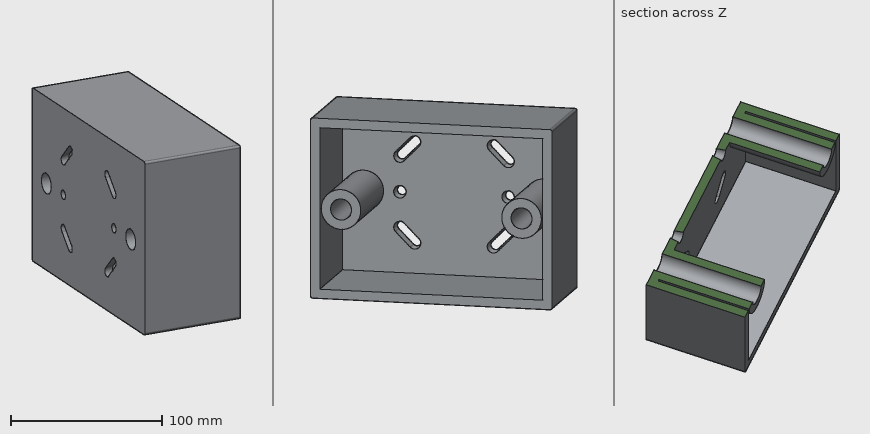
import cadquery as cq

WIDTH = 164.36
DEPTH = 70.84
HEIGHT = 121.85
CORNER_RADIUS = 1.5
WALL = 6.35
FRONT_Y = -DEPTH / 2

TUBE_OFFSET = 61.4
TUBE_BORE = 14.2
TUBE_OUTER = TUBE_BORE + 2 * WALL

SCREW_OFFSET = 36.8
SCREW_DIAMETER = 6.2
SLOT_WIDTH = 6.1
SLOT_TRAVEL = 14.2
SLOT_CENTER_X = 31.8
SLOT_CENTER_Z = 29.1
SLOT_ANGLE = 45
FLARE_ANGLE = 10

SIDES = (-1, 1)


def front_plane():
    """Sketch plane on the front face: X right, Z up; negative extrusions go inwards (+Y)."""
    return cq.Workplane("XZ", origin=(0, FRONT_Y, 0))


def box_shell():
    outer = front_plane().rect(WIDTH, HEIGHT).extrude(-DEPTH)
    outer = outer.edges("|Y").fillet(CORNER_RADIUS)
    cavity = (
        front_plane()
        .workplane(offset=-WALL)
        .rect(WIDTH - 2 * WALL, HEIGHT - 2 * WALL)
        .extrude(-(DEPTH - WALL))
    )
    return outer.cut(cavity)


def round_pair(offset, diameter, length, flare=0):
    """Two round bodies, left and right of centre, running inwards from the front face."""
    centers = [(side * offset, 0) for side in SIDES]
    return front_plane().pushPoints(centers).circle(diameter / 2).extrude(-length, taper=-flare)


def flared_slot(side_x, side_z):
    """Diagonal slot in one quadrant; its outer end is the one nearer the horizontal centreline."""
    return (
        front_plane()
        .center(side_x * SLOT_CENTER_X, side_z * SLOT_CENTER_Z)
        .slot2D(SLOT_TRAVEL + SLOT_WIDTH, SLOT_WIDTH, -side_x * side_z * SLOT_ANGLE)
        .extrude(-WALL, taper=-FLARE_ANGLE)
    )


result = (
    box_shell()
    .union(round_pair(TUBE_OFFSET, TUBE_OUTER, DEPTH))
    .cut(round_pair(TUBE_OFFSET, TUBE_BORE, DEPTH))
    .cut(round_pair(SCREW_OFFSET, SCREW_DIAMETER, WALL, FLARE_ANGLE))
)
for side_x in SIDES:
    for side_z in SIDES:
        result = result.cut(flared_slot(side_x, side_z))